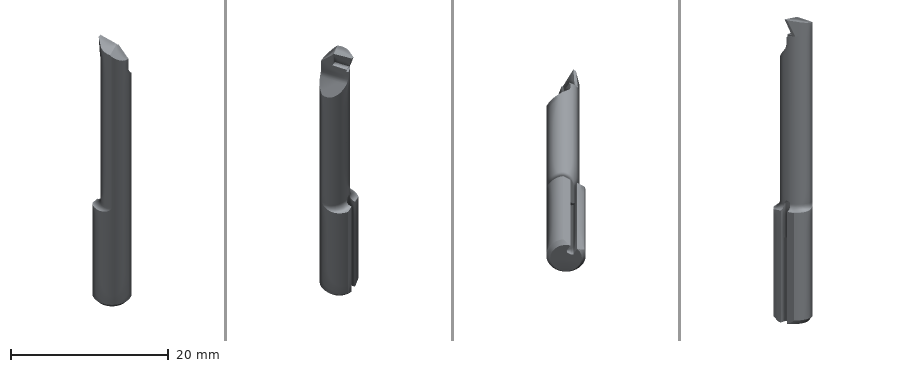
import cadquery as cq
import math

total_length = 40.0
shank_radius = 2.5
shank_length = 14.75
flat_x = -1.95
foot_chamfer_width = 0.5
foot_chamfer_height = 0.6

neck_radius = 2.14
neck_center_x = 0.84
neck_fillet_radius = 0.82

slot_width = 1.0
slot_top_z = 16.0
slot_step_z = 11.05
slot_floor_x = -1.15
slot_deep_floor_x = -0.8
slot_floor_bevel = 0.17

front_face_y = 0.1
front_runout_z = 34.1
front_blend_radius = 1.3

tip_x = -1.83
tip_flat_end_y = -0.36
head_bottom_z = 37.8
head_bottom_slope = 0.17
pocket_bottom_z = 37.85
side_relief_end_y = -1.5
edge_slope = 0.34
rake_slope = 0.28
rake_wall_x = 0.9
top_slope_x = 0.10
top_slope_y = 0.19
back_bevel_x = 0.8

reach = 10.0
overshoot = 1.0
overshoot_z = total_length + overshoot
undershoot_z = -overshoot


def box_between(x_range, y_range, z_range):
    """Box given by its lower and upper limit on each axis."""
    size = [high - low for low, high in (x_range, y_range, z_range)]
    corner = (x_range[0], y_range[0], z_range[0])
    return cq.Workplane("XY").box(*size, centered=False).translate(corner)


def prism_along_x(outline, x_start, x_end):
    """Prism along X from an outline of (y, z) points."""
    return cq.Workplane("YZ", origin=(x_start, 0, 0)).polyline(outline).close().extrude(x_end - x_start)


def prism_along_y(outline):
    """Prism along Y, across the whole part, from an outline of (x, z) points."""
    return cq.Workplane("XZ").polyline(outline).close().extrude(reach, both=True)


def make_shank_and_neck():
    """Turned neck with a concave root fillet, limited to the shank, plus the shank itself."""
    root_radius = neck_radius + neck_fillet_radius
    fillet_top_z = shank_length + neck_fillet_radius
    fillet_drop = neck_fillet_radius * math.sqrt(0.5)
    neck = (
        cq.Workplane("XZ")
        .lineTo(root_radius, 0)
        .lineTo(root_radius, shank_length)
        .threePointArc(
            (root_radius - fillet_drop, fillet_top_z - fillet_drop),
            (neck_radius, fillet_top_z),
        )
        .lineTo(neck_radius, overshoot_z)
        .lineTo(0, overshoot_z)
        .close()
        .revolve(360, (0, 0, 0), (0, 1, 0))
        .translate((neck_center_x, 0, 0))
    )
    envelope = (
        cq.Workplane("XY")
        .circle(shank_radius)
        .extrude(overshoot_z)
        .faces("<Z")
        .chamfer(foot_chamfer_height, foot_chamfer_width)
    )
    shank = envelope.intersect(box_between((-reach, reach), (-reach, reach), (0, shank_length)))
    flat = box_between((-reach, flat_x), (-reach, reach), (undershoot_z, overshoot_z))
    return shank.union(neck.intersect(envelope)).cut(flat)


def make_slot():
    """Shallow round-ended slot with a deeper length below its step."""
    half_width = slot_width / 2
    shallow = (
        cq.Workplane("YZ", origin=(slot_floor_x, 0, 0))
        .moveTo(-half_width, undershoot_z)
        .lineTo(half_width, undershoot_z)
        .lineTo(half_width, slot_top_z - half_width)
        .threePointArc((0, slot_top_z), (-half_width, slot_top_z - half_width))
        .close()
        .extrude(-reach)
        .faces(">X")
        .chamfer(slot_floor_bevel)
    )
    deep = (
        box_between((-reach, slot_deep_floor_x), (-half_width, half_width), (undershoot_z, slot_step_z))
        .edges(">X and |Z")
        .chamfer(slot_floor_bevel)
    )
    return shallow.union(deep)


def make_front_cut():
    """Material removed in front of the flat face, down a blended 45-degree run-out."""
    corner_z = front_runout_z + neck_radius - front_face_y
    blend_half_angle = math.radians(45) / 2
    blend_setback = front_blend_radius * math.tan(blend_half_angle)
    diagonal_setback = blend_setback * math.sqrt(0.5)
    blend_center_y = front_face_y + front_blend_radius
    blend_end_z = corner_z + blend_setback
    return (
        cq.Workplane("YZ", origin=(-reach, 0, 0))
        .moveTo(front_face_y, overshoot_z)
        .lineTo(front_face_y, blend_end_z)
        .threePointArc(
            (
                blend_center_y - front_blend_radius * math.cos(blend_half_angle),
                blend_end_z - front_blend_radius * math.sin(blend_half_angle),
            ),
            (front_face_y + diagonal_setback, corner_z - diagonal_setback),
        )
        .lineTo(front_face_y + reach, corner_z - reach)
        .lineTo(front_face_y + reach, overshoot_z)
        .close()
        .extrude(2 * reach)
    )


def make_head_zone():
    """Space above the sloping underside of the head, up to the front face."""
    front_z = head_bottom_z - head_bottom_slope * (front_face_y - side_relief_end_y)
    back_z = head_bottom_z + head_bottom_slope * (side_relief_end_y + reach)
    outline = [(front_face_y, front_z), (front_face_y, overshoot_z), (-reach, overshoot_z), (-reach, back_z)]
    return prism_along_x(outline, -reach, reach)


def make_head_wedge():
    """Upright wedge between the tip flat and the side relief, which ends on the neck surface."""
    relief_end_x = neck_center_x - math.sqrt(neck_radius**2 - side_relief_end_y**2)
    outline = [
        (tip_x, front_face_y),
        (tip_x, tip_flat_end_y),
        (relief_end_x, side_relief_end_y),
        (neck_center_x, side_relief_end_y),
        (neck_center_x, front_face_y),
    ]
    column = cq.Workplane("XY").polyline(outline).close().extrude(overshoot_z)
    return column.intersect(make_head_zone())


def make_edge_relief():
    """Material removed under the slanted cutting edge on the -X side of the head."""
    bottom_z = head_bottom_z - overshoot
    bottom_x = tip_x + edge_slope * (total_length - bottom_z)
    top_x = tip_x - edge_slope * (overshoot_z - total_length)
    outline = [(bottom_x, bottom_z), (top_x, overshoot_z), (-reach, overshoot_z), (-reach, bottom_z)]
    return prism_along_y(outline).intersect(make_head_zone())


def make_rake_pocket():
    """Chip pocket whose sloping floor is the rake face."""
    bottom_y = -rake_slope * (total_length - pocket_bottom_z)
    top_y = rake_slope * (overshoot_z - total_length)
    outline = [
        (bottom_y, pocket_bottom_z),
        (top_y, overshoot_z),
        (reach, overshoot_z),
        (reach, pocket_bottom_z),
    ]
    return prism_along_x(outline, -reach, rake_wall_x)


def make_top_cut():
    """Material above the top face, which falls away from the tip towards +X and -Y."""
    normal = (top_slope_x, -top_slope_y, 1)
    plane = cq.Plane(origin=(tip_x, 0, total_length), xDir=(1, 0, -top_slope_x), normal=normal)
    return cq.Workplane(plane).rect(2 * reach, 2 * reach).extrude(reach)


def make_back_bevel():
    """Material beyond the 45-degree bevel on the +X side of the tip."""
    start_z = total_length - top_slope_x * (back_bevel_x - tip_x)
    return prism_along_y(
        [
            (back_bevel_x - reach, start_z + reach),
            (back_bevel_x + reach, start_z - reach),
            (back_bevel_x + reach, start_z + reach),
        ]
    )


result = make_shank_and_neck().cut(make_slot()).cut(make_front_cut())
result = result.union(make_head_wedge())
for removed in (make_edge_relief(), make_rake_pocket(), make_top_cut(), make_back_bevel()):
    result = result.cut(removed)